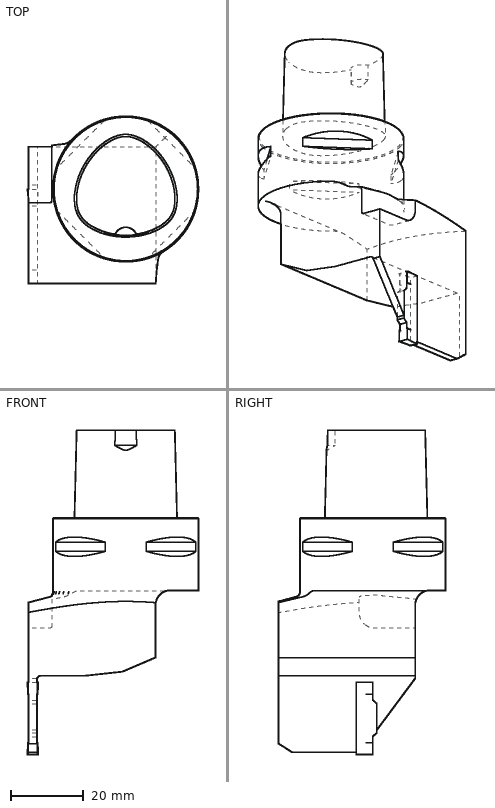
import cadquery as cq
import math


FLANGE_RADIUS = 20.0
FLANGE_HEIGHT = 20.0
FLANGE_CHAMFER = 0.3

SHANK_LENGTH = 24.0
SHANK_BASE_WIDTH = 28.2
SHANK_TAPER = 1 / 20
LOBE_HEIGHT = 0.9
LOBE_COUNT = 3
LOBE_HALF_ANGLE = 28.0
CURVE_STEPS = 8

NOTCH_RADIUS = 3.2
NOTCH_CENTER_Y = -13.7
NOTCH_DEPTH = 4.2
NOTCH_POINT_ANGLE = 118.0

SLOT_COUNT = 4
SLOT_FIRST_ANGLE = 45.0
SLOT_Z = -8.0
SLOT_FLOOR_DISTANCE = 17.55
SLOT_FLOOR_HEIGHT = 2.5
SLOT_FLANK_ANGLE = 30.0
SLOT_OUTER_DISTANCE = FLANGE_RADIUS + 1

CUT_WIDTH = 3.0
INSERT_CENTER_X = -25.5
INSERT_TIP_Z = -65.0
INSERT_LENGTH = 19.9
INSERT_SEAT_Y = -4.6
INSERT_HUMP_HEIGHT = 1.15
INSERT_HUMP_LENGTH = 8.0
INSERT_HUMP_RUNOUT = 1.0
HEAD_LENGTH = 3.3
HEAD_SIDE_RELIEF_DEPTH = 3.0
HEAD_BACK_TAPER = 2.0

BLADE_WIDTH = 2.4
BLADE_OUTER_X = INSERT_CENTER_X - BLADE_WIDTH / 2
BLADE_INNER_X = INSERT_CENTER_X + BLADE_WIDTH / 2
BLADE_BOTTOM_Z = -64.4
BLADE_ROOT_RADIUS = 1.0
BLADE_CORNER_Y = 3.8
BLADE_CORNER_Z = 2.4

BLOCK_RIGHT_X = 8.2
BLOCK_FRONT_Y = -25.92
BLOCK_BACK_Y = 11.65
BLOCK_BOTTOM_Z = -43.4
BLOCK_SLOPE_START = (-11.0, BLOCK_BOTTOM_Z)
BLOCK_SLOPE_BREAK = (-0.9, -42.3)
BLOCK_RIGHT_BOTTOM_Z = -38.4
BACK_SLOPE_TOP_Z = -44.1
BACK_SLOPE_BOTTOM_Z = -59.8
FLARE_RADIUS = 4.0

SHOULDER_ANGLE = 15.0
SHOULDER_FILLET = 1.4
SHOULDER_START_Z = -21.4
SHOULDER_REACH = 40.0

POCKET_WALL_X = -20.3
POCKET_FLOOR_Z = -30.2
POCKET_FRONT_Y = -3.8
POCKET_CORNER_RADIUS = 4.2
POCKET_EDGE_FILLET = 0.6


def lobed_point(width, angle, z):
    """Point whose tangent faces along angle, measured from +Y, at a distance that waves around width/2."""
    reach = width / 2 + LOBE_HEIGHT * math.cos(LOBE_COUNT * angle)
    slide = LOBE_COUNT * LOBE_HEIGHT * math.sin(LOBE_COUNT * angle)
    along_lobe = reach * math.cos(angle) + slide * math.sin(angle)
    across_lobe = reach * math.sin(angle) - slide * math.cos(angle)
    return cq.Vector(-across_lobe, along_lobe, z)


def lobed_edge(width, start, end, z):
    """Smooth stretch of the lobed section between two facing angles in degrees."""
    angles = [math.radians(start + (end - start) * i / CURVE_STEPS) for i in range(CURVE_STEPS + 1)]
    points = [lobed_point(width, angle, z) for angle in angles]
    tangents = [cq.Vector(-math.cos(angle), -math.sin(angle), 0) for angle in (angles[0], angles[-1])]
    return cq.Edge.makeSpline(points, tangents=tangents)


def lobed_wire(width, z):
    """Closed section made of a lobe and a flank, repeated around the axis."""
    pitch = 360 / LOBE_COUNT
    edges = []
    for i in range(LOBE_COUNT):
        lobe_start = i * pitch - LOBE_HALF_ANGLE
        lobe_end = i * pitch + LOBE_HALF_ANGLE
        edges.append(lobed_edge(width, lobe_start, lobe_end, z))
        edges.append(lobed_edge(width, lobe_end, lobe_start + pitch, z))
    return cq.Wire.assembleEdges(edges)


def make_shank():
    tip_width = SHANK_BASE_WIDTH - SHANK_LENGTH * SHANK_TAPER
    base = lobed_wire(SHANK_BASE_WIDTH, 0)
    tip = lobed_wire(tip_width, SHANK_LENGTH)
    return cq.Workplane(obj=cq.Solid.makeLoft([base, tip], True))


def make_notch():
    cone_height = NOTCH_RADIUS / math.tan(math.radians(NOTCH_POINT_ANGLE / 2))
    cone_top = SHANK_LENGTH - NOTCH_DEPTH
    outline = [
        (0, SHANK_LENGTH),
        (NOTCH_RADIUS, SHANK_LENGTH),
        (NOTCH_RADIUS, cone_top),
        (0, cone_top - cone_height),
    ]
    drill = cq.Workplane("XZ").polyline(outline).close().revolve(360, (0, 0), (0, 1))
    return drill.translate((0, NOTCH_CENTER_Y, 0))


def make_flange():
    flange = cq.Workplane("XY").circle(FLANGE_RADIUS).extrude(-FLANGE_HEIGHT)
    return flange.faces(">Z").edges().chamfer(FLANGE_CHAMFER)


def make_gripper_slot(angle):
    inner = SLOT_FLOOR_HEIGHT / 2
    outer = inner + (SLOT_OUTER_DISTANCE - SLOT_FLOOR_DISTANCE) * math.tan(math.radians(SLOT_FLANK_ANGLE))
    outline = [
        (SLOT_FLOOR_DISTANCE, SLOT_Z - inner),
        (SLOT_OUTER_DISTANCE, SLOT_Z - outer),
        (SLOT_OUTER_DISTANCE, SLOT_Z + outer),
        (SLOT_FLOOR_DISTANCE, SLOT_Z + inner),
    ]
    slot = cq.Workplane("XZ").polyline(outline).close().extrude(FLANGE_RADIUS, both=True)
    return slot.rotate((0, 0, 0), (0, 0, 1), angle)


def make_front_profile():
    """Block and blade outline in X and Z, flaring into the flange on the right."""
    arc_center = (BLOCK_RIGHT_X + FLARE_RADIUS, -FLANGE_HEIGHT - FLARE_RADIUS)
    arc_offset = FLARE_RADIUS * math.sqrt(0.5)
    root = (BLADE_INNER_X + BLADE_ROOT_RADIUS, BLOCK_BOTTOM_Z - BLADE_ROOT_RADIUS)
    root_offset = BLADE_ROOT_RADIUS * math.sqrt(0.5)
    outline = (
        cq.Workplane("XZ")
        .moveTo(BLADE_OUTER_X, -FLANGE_HEIGHT)
        .lineTo(arc_center[0], -FLANGE_HEIGHT)
        .threePointArc(
            (arc_center[0] - arc_offset, arc_center[1] + arc_offset),
            (BLOCK_RIGHT_X, arc_center[1]),
        )
        .lineTo(BLOCK_RIGHT_X, BLOCK_RIGHT_BOTTOM_Z)
        .lineTo(*BLOCK_SLOPE_BREAK)
        .lineTo(*BLOCK_SLOPE_START)
        .lineTo(root[0], BLOCK_BOTTOM_Z)
        .threePointArc((root[0] - root_offset, root[1] + root_offset), (BLADE_INNER_X, root[1]))
        .lineTo(BLADE_INNER_X, BLADE_BOTTOM_Z)
        .lineTo(BLADE_OUTER_X, BLADE_BOTTOM_Z)
        .close()
    )
    return outline.extrude(SHOULDER_REACH, both=True)


def make_side_profile():
    """Block and blade outline in Y and Z, flaring into the flange at the back."""
    arc_center = (BLOCK_BACK_Y + FLARE_RADIUS, -FLANGE_HEIGHT - FLARE_RADIUS)
    arc_offset = FLARE_RADIUS * math.sqrt(0.5)
    outline = (
        cq.Workplane("YZ")
        .moveTo(BLOCK_FRONT_Y, -FLANGE_HEIGHT)
        .lineTo(arc_center[0], -FLANGE_HEIGHT)
        .threePointArc(
            (arc_center[0] - arc_offset, arc_center[1] + arc_offset),
            (BLOCK_BACK_Y, arc_center[1]),
        )
        .lineTo(BLOCK_BACK_Y, BACK_SLOPE_TOP_Z)
        .lineTo(0, BACK_SLOPE_BOTTOM_Z)
        .lineTo(INSERT_SEAT_Y, BACK_SLOPE_BOTTOM_Z)
        .lineTo(INSERT_SEAT_Y, BLADE_BOTTOM_Z)
        .lineTo(BLOCK_FRONT_Y + BLADE_CORNER_Y, BLADE_BOTTOM_Z)
        .lineTo(BLOCK_FRONT_Y, BLADE_BOTTOM_Z + BLADE_CORNER_Z)
        .close()
    )
    return outline.extrude(SHOULDER_REACH, both=True)


def make_shoulder():
    """Everything below the conical shoulder, with the fillet that joins the cone to the flange."""
    slope = math.radians(SHOULDER_ANGLE)
    tangent_length = SHOULDER_FILLET * math.tan((math.pi / 2 - slope) / 2)
    fillet_top = (FLANGE_RADIUS, SHOULDER_START_Z + tangent_length)
    fillet_center = (FLANGE_RADIUS + SHOULDER_FILLET, fillet_top[1])
    middle = (math.pi / 2 - slope) / 2
    fillet_middle = (
        fillet_center[0] - SHOULDER_FILLET * math.cos(middle),
        fillet_center[1] - SHOULDER_FILLET * math.sin(middle),
    )
    fillet_end = (
        fillet_center[0] - SHOULDER_FILLET * math.sin(slope),
        fillet_center[1] - SHOULDER_FILLET * math.cos(slope),
    )
    rim_z = SHOULDER_START_Z - (SHOULDER_REACH - FLANGE_RADIUS) * math.tan(slope)
    outline = (
        cq.Workplane("XZ")
        .moveTo(0, -FLANGE_HEIGHT)
        .lineTo(FLANGE_RADIUS, -FLANGE_HEIGHT)
        .lineTo(*fillet_top)
        .threePointArc(fillet_middle, fillet_end)
        .lineTo(SHOULDER_REACH, rim_z)
        .lineTo(SHOULDER_REACH, INSERT_TIP_Z)
        .lineTo(0, INSERT_TIP_Z)
        .close()
    )
    return outline.revolve(360, (0, 0), (0, 1))


def make_pocket():
    """Cutter for the relief pocket, open to the left, back and top."""
    size_x = SHOULDER_REACH + POCKET_WALL_X
    size_y = SHOULDER_REACH - POCKET_FRONT_Y
    size_z = -POCKET_FLOOR_Z
    pocket = cq.Workplane("XY").box(size_x, size_y, size_z, centered=False)
    pocket = pocket.translate((-SHOULDER_REACH, POCKET_FRONT_Y, POCKET_FLOOR_Z))
    pocket = pocket.edges("|X and <Y and <Z").fillet(POCKET_CORNER_RADIUS)
    return pocket.edges(">X and <Z").fillet(POCKET_EDGE_FILLET)


def head_section(workplane, half_width):
    """Head cross-section, narrowing away from its rake face at Y = 0."""
    side_relief = (CUT_WIDTH - BLADE_WIDTH) / 2 / HEAD_SIDE_RELIEF_DEPTH
    foot = half_width + INSERT_SEAT_Y * side_relief
    corners = [
        (-half_width, 0),
        (half_width, 0),
        (foot, INSERT_SEAT_Y),
        (-foot, INSERT_SEAT_Y),
    ]
    return workplane.polyline(corners).close()


def make_insert_head():
    """Lower cutting head, widest at the tip."""
    half_width = CUT_WIDTH / 2
    rear_half_width = half_width - HEAD_LENGTH * math.tan(math.radians(HEAD_BACK_TAPER))
    tip = cq.Workplane("XY", origin=(INSERT_CENTER_X, 0, INSERT_TIP_Z))
    rear = head_section(tip, half_width).workplane(offset=HEAD_LENGTH)
    return head_section(rear, rear_half_width).loft(ruled=True)


def make_insert():
    """Double-ended insert, mirrored about its mid-length."""
    middle_z = INSERT_TIP_Z + INSERT_LENGTH / 2
    half_hump = INSERT_HUMP_LENGTH / 2
    half_foot = half_hump + INSERT_HUMP_RUNOUT
    outline = [
        (INSERT_SEAT_Y, INSERT_TIP_Z),
        (0, INSERT_TIP_Z),
        (0, middle_z - half_foot),
        (INSERT_HUMP_HEIGHT, middle_z - half_hump),
        (INSERT_HUMP_HEIGHT, middle_z + half_hump),
        (0, middle_z + half_foot),
        (0, INSERT_TIP_Z + INSERT_LENGTH),
        (INSERT_SEAT_Y, INSERT_TIP_Z + INSERT_LENGTH),
    ]
    plane = cq.Workplane("YZ", origin=(INSERT_CENTER_X, 0, 0))
    core = plane.polyline(outline).close().extrude(BLADE_WIDTH / 2, both=True)
    lower_head = make_insert_head()
    upper_head = lower_head.mirror("XY", (0, 0, middle_z))
    return core.union(lower_head).union(upper_head)


def make_holder(insert):
    block = make_front_profile().intersect(make_side_profile()).intersect(make_shoulder())
    block = block.cut(make_pocket())
    holder = make_flange().union(make_shank().cut(make_notch())).union(block)
    for i in range(SLOT_COUNT):
        holder = holder.cut(make_gripper_slot(SLOT_FIRST_ANGLE + i * 360 / SLOT_COUNT))
    return holder.cut(insert)


insert = make_insert()
holder = make_holder(insert)

result = cq.Compound.makeCompound([*holder.solids().vals(), *insert.solids().vals()])